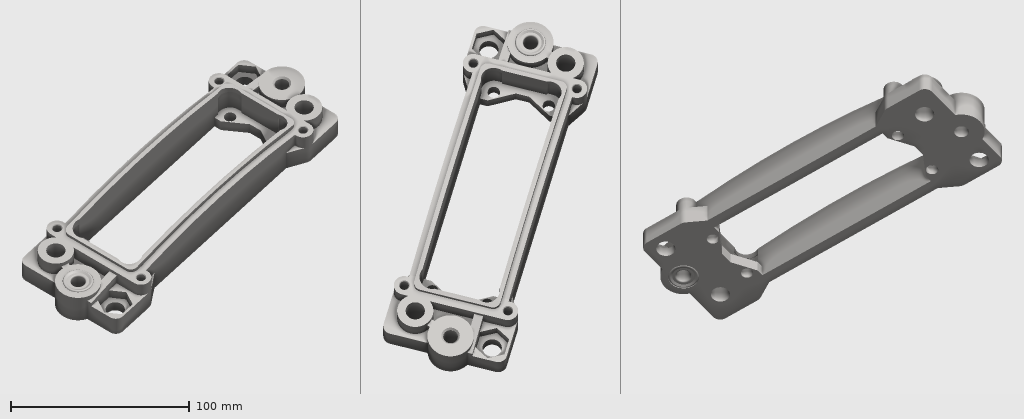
import cadquery as cq
import math

PLATE_HALF_X = 72.0 / 2
HALF_LENGTH = 216.0 / 2

WALL_HALF_X = 29.0
WALL_HALF_Y = 78.5
END_TOP = 21.0
LEDGE_PEAK = 25.7
LEDGE_END_Y = 65.5
LIP_HALF_X = 25.0
LIP_HALF_Y = 73.9
LIP_CORNER_R = 4.3
LIP_PEAK = 28.3
LIP_END_TOP = 23.0
CAVITY_HALF_X = 22.5
CAVITY_HALF_Y = 71.3
CAVITY_CORNER_R = 6.5

POST_R = 5.8
POST_X = PLATE_HALF_X - POST_R
POST_Y = WALL_HALF_Y - POST_R
SCREW_HOLE_R = 2.5
SCREW_HOLE_DEPTH = 13.0
SCREW_MOUTH_R = 3.0
SCREW_MOUTH_DEPTH = 0.5
GUSSET_END_Y = 59.0

PLATE_TOP = 12.3
PLATE_NUT_SIDE_Y = 101.0
PLATE_BOSS_SIDE_Y = 99.8
PLATE_CORNER_R = 5.0

NUT_X = -26.0
NUT_Y = 90.3
NUT_ACROSS_FLATS = 17.0
NUT_FLOOR = 6.5
BOLT_HOLE_R = 5.5
BOSS_X = 19.9
BOSS_Y = 86.5
BOSS_R = 10.2
HUB_R = 13.0
HUB_X = -3.0
HUB_Y = HALF_LENGTH - HUB_R
HUB_TOP = 18.4
WEB_WIDTH = 4.5
RIB_WIDTH = 5.2
RIB_X = NUT_X + NUT_ACROSS_FLATS / 2
RIB_INNER_Z = 18.8
RIB_OUTER_Z = 15.0

TAB_THICKNESS = 7.1
TAB_HOLE_R = 3.5
TAB_HOLE_X = CAVITY_HALF_X - CAVITY_CORNER_R
TAB_HOLE_Y = CAVITY_HALF_Y - CAVITY_CORNER_R
TAB_RELIEF_R = 7.1
CORNER_POCKET_R = 7.3
CORNER_POCKET_RUN = 2.8
CORNER_POCKET_TOP = 20.0
TAB_END_Y = 59.0
TAB_WAIST_Y = 67.5
TAB_END_HALF_X = 18.0
TAB_WAIST_HALF_X = 3.9

BEARING_R = 8.6
BEARING_BORE_R = 4.0
BEARING_LENGTH = 16.8
BEARING_EDGE = 0.9
DISH_OUTER_R = 7.5
DISH_INNER_R = 6.3
DISH_DEPTH = 0.6
BEARING_PROUD = 0.6
NEAR_BEARING_Z = HUB_TOP + BEARING_PROUD - BEARING_LENGTH
HUB_HOLE_CHAMFER = 1.0


def cylinder(x, y, radius, bottom, top):
    return cq.Workplane("XY", origin=(x, y, bottom)).circle(radius).extrude(top - bottom)


def block(x_min, x_max, y_min, y_max, bottom, top):
    size = (x_max - x_min, y_max - y_min, top - bottom)
    return cq.Workplane("XY").box(*size, centered=False).translate((x_min, y_min, bottom))


def crowned_block(half_x, half_y, shoulder_y, shoulder_z, peak):
    """Block along Y whose top is an arc between two level shoulders."""
    profile = cq.Workplane("YZ", origin=(-half_x, 0, 0)).moveTo(-half_y, 0).lineTo(half_y, 0)
    profile = profile.lineTo(half_y, shoulder_z)
    if shoulder_y < half_y:
        profile = profile.lineTo(shoulder_y, shoulder_z)
    profile = profile.threePointArc((0, peak), (-shoulder_y, shoulder_z))
    if shoulder_y < half_y:
        profile = profile.lineTo(-half_y, shoulder_z)
    return profile.close().extrude(2 * half_x)


def walls():
    body = crowned_block(WALL_HALF_X, WALL_HALF_Y, LEDGE_END_Y, END_TOP, LEDGE_PEAK)
    lip = crowned_block(LIP_HALF_X, LIP_HALF_Y, LIP_HALF_Y, LIP_END_TOP, LIP_PEAK)
    lip = lip.edges("|Z").fillet(LIP_CORNER_R)
    return body.union(lip)


def cavity():
    opening = block(-CAVITY_HALF_X, CAVITY_HALF_X, -CAVITY_HALF_Y, CAVITY_HALF_Y, 0, LIP_PEAK)
    return opening.edges("|Z").fillet(CAVITY_CORNER_R)


def gusset():
    """Wedge from the left +Y post to the side wall, tangent to the post."""
    dx = POST_X - WALL_HALF_X
    dy = POST_Y - GUSSET_END_Y
    reach = math.hypot(dx, dy)
    angle = math.atan2(-dy, dx) - math.acos(POST_R / reach)
    tangent = (-POST_X + POST_R * math.cos(angle), POST_Y + POST_R * math.sin(angle))
    points = [(-WALL_HALF_X, GUSSET_END_Y), (-WALL_HALF_X, POST_Y), (-POST_X, POST_Y), tangent]
    return cq.Workplane("XY").polyline(points).close().extrude(PLATE_TOP)


def post_and_gusset():
    post = cylinder(-POST_X, POST_Y, POST_R, 0, END_TOP)
    bridge = block(-POST_X, 0, POST_Y - POST_R, WALL_HALF_Y, 0, END_TOP)
    return post.union(bridge).union(gusset())


def plate():
    nut_side = block(-PLATE_HALF_X, HUB_X, POST_Y, PLATE_NUT_SIDE_Y, 0, PLATE_TOP)
    nut_side = nut_side.edges("|Z and <X and >Y").fillet(PLATE_CORNER_R)
    boss_side = block(HUB_X, PLATE_HALF_X, POST_Y, PLATE_BOSS_SIDE_Y, 0, PLATE_TOP)
    boss_side = boss_side.edges("|Z and >X and >Y").fillet(PLATE_CORNER_R)
    return nut_side.union(boss_side)


def rib():
    start_y = WALL_HALF_Y
    profile = [(start_y, 0), (PLATE_NUT_SIDE_Y, 0), (PLATE_NUT_SIDE_Y, RIB_OUTER_Z), (start_y, RIB_INNER_Z)]
    return cq.Workplane("YZ", origin=(RIB_X, 0, 0)).polyline(profile).close().extrude(RIB_WIDTH)


def web():
    """Strip on the line between the hub and boss centres."""
    dx = BOSS_X - HUB_X
    dy = BOSS_Y - HUB_Y
    length = math.hypot(dx, dy)
    strip = block(0, length, -WEB_WIDTH / 2, WEB_WIDTH / 2, 0, HUB_TOP)
    strip = strip.rotate((0, 0, 0), (0, 0, 1), math.degrees(math.atan2(dy, dx)))
    return strip.translate((HUB_X, HUB_Y, 0))


def end_block():
    corner = post_and_gusset()
    hub = cylinder(HUB_X, HUB_Y, HUB_R, 0, HUB_TOP)
    boss = cylinder(BOSS_X, BOSS_Y, BOSS_R, 0, END_TOP)
    end = plate().union(corner).union(corner.mirror("YZ"))
    return end.union(rib()).union(hub).union(boss).union(web())


def floor_tab():
    outline = [
        (-CAVITY_HALF_X, CAVITY_HALF_Y),
        (-CAVITY_HALF_X, TAB_END_Y),
        (-TAB_END_HALF_X, TAB_END_Y),
        (-TAB_WAIST_HALF_X, TAB_WAIST_Y),
        (TAB_WAIST_HALF_X, TAB_WAIST_Y),
        (TAB_END_HALF_X, TAB_END_Y),
        (CAVITY_HALF_X, TAB_END_Y),
        (CAVITY_HALF_X, CAVITY_HALF_Y),
    ]
    return cq.Workplane("XY").polyline(outline).close().extrude(TAB_THICKNESS)


def screw_hole(x):
    hole = cylinder(x, POST_Y, SCREW_HOLE_R, END_TOP - SCREW_HOLE_DEPTH, END_TOP)
    mouth = cq.Workplane("XY", origin=(x, POST_Y, END_TOP)).circle(SCREW_MOUTH_R)
    mouth = mouth.workplane(offset=-SCREW_MOUTH_DEPTH).circle(SCREW_HOLE_R).loft()
    return hole.union(mouth)


def corner_pocket():
    """Undercut in the right +Y cavity corner, rounded about the tab hole."""
    pocket = block(
        TAB_HOLE_X - CORNER_POCKET_RUN,
        TAB_HOLE_X + CORNER_POCKET_R,
        TAB_HOLE_Y - CORNER_POCKET_RUN,
        TAB_HOLE_Y + CORNER_POCKET_R,
        TAB_THICKNESS,
        CORNER_POCKET_TOP,
    )
    return pocket.edges("|Z and >X and >Y").fillet(CORNER_POCKET_R)


def end_cuts():
    corner_to_corner = NUT_ACROSS_FLATS / math.cos(math.pi / 6)
    nut = cq.Workplane("XY").polygon(6, corner_to_corner).extrude(PLATE_TOP - NUT_FLOOR)
    nut = nut.rotate((0, 0, 0), (0, 0, 1), 30).translate((NUT_X, NUT_Y, NUT_FLOOR))
    cuts = nut.union(cylinder(NUT_X, NUT_Y, BOLT_HOLE_R, 0, PLATE_TOP))
    cuts = cuts.union(cylinder(BOSS_X, BOSS_Y, BOLT_HOLE_R, 0, END_TOP))
    for side in (-1, 1):
        cuts = cuts.union(screw_hole(side * POST_X))
        cuts = cuts.union(cylinder(side * TAB_HOLE_X, TAB_HOLE_Y, TAB_HOLE_R, 0, TAB_THICKNESS))
        cuts = cuts.union(cylinder(side * TAB_HOLE_X, TAB_HOLE_Y, TAB_RELIEF_R, TAB_THICKNESS, LIP_PEAK))
    return cuts.union(corner_pocket()).union(corner_pocket().mirror("YZ"))


def half_turn(shape):
    return shape.rotate((0, 0, 0), (0, 0, 1), 180)


def make_bearing():
    """Bushing standing on Z = 0, with rounded edges and a dished top face."""
    dish_z = BEARING_LENGTH - DISH_DEPTH
    profile = (
        cq.Workplane("XZ")
        .moveTo(BEARING_BORE_R, 0)
        .lineTo(BEARING_R, 0)
        .lineTo(BEARING_R, BEARING_LENGTH - BEARING_EDGE)
        .radiusArc((BEARING_R - BEARING_EDGE, BEARING_LENGTH), -BEARING_EDGE)
        .lineTo(DISH_OUTER_R, BEARING_LENGTH)
        .lineTo(DISH_INNER_R, dish_z)
        .lineTo(BEARING_BORE_R + BEARING_EDGE, dish_z)
        .radiusArc((BEARING_BORE_R, dish_z - BEARING_EDGE), -BEARING_EDGE)
        .close()
    )
    return profile.revolve(360, (0, 0, 0), (0, 1, 0))


def far_hub_bore():
    """Bearing seat open at the bottom, with a chamfered hole through the cap above it."""
    seat = cylinder(HUB_X, HUB_Y, BEARING_R, 0, BEARING_LENGTH)
    hole = cylinder(HUB_X, HUB_Y, BEARING_BORE_R, 0, HUB_TOP)
    chamfer = cq.Workplane("XY", origin=(HUB_X, HUB_Y, HUB_TOP)).circle(BEARING_BORE_R + HUB_HOLE_CHAMFER)
    chamfer = chamfer.workplane(offset=-HUB_HOLE_CHAMFER).circle(BEARING_BORE_R).loft()
    return seat.union(hole).union(chamfer)


def near_hub_bore():
    """Bearing seat open at the top, with a plain hole through the floor below it."""
    seat = cylinder(-HUB_X, -HUB_Y, BEARING_R, NEAR_BEARING_Z, HUB_TOP)
    return seat.union(cylinder(-HUB_X, -HUB_Y, BEARING_BORE_R, 0, HUB_TOP))


def make_frame():
    frame = walls().union(end_block()).union(half_turn(end_block())).cut(cavity())
    frame = frame.union(floor_tab()).union(half_turn(floor_tab()))
    frame = frame.cut(end_cuts()).cut(half_turn(end_cuts()))
    return frame.cut(far_hub_bore()).cut(near_hub_bore())


frame = make_frame()
near_bearing = make_bearing().translate((-HUB_X, -HUB_Y, NEAR_BEARING_Z))
far_bearing = make_bearing().mirror("XY").translate((HUB_X, HUB_Y, BEARING_LENGTH))

result = cq.Compound.makeCompound([frame.val(), near_bearing.val(), far_bearing.val()])